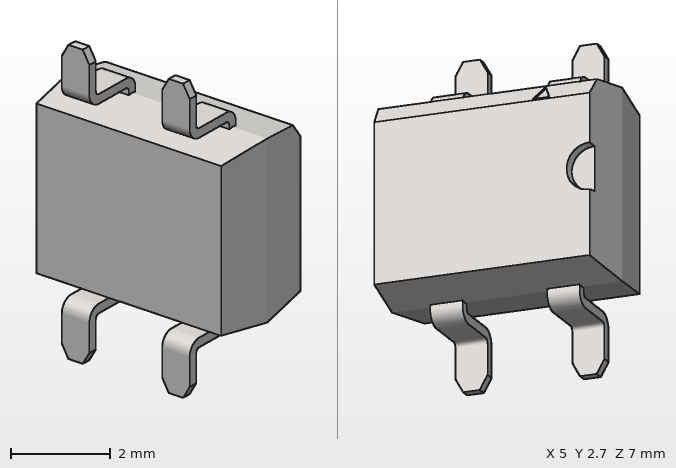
import cadquery as cq
import math


body_width = 5.0
body_height = 4.1
half_depth = 1.3
draft_angle = 7.0

bevel_depth = 0.3
bevel_drop = 0.34

notch_radius = 0.5
notch_depth = 0.21

lead_pitch = 2.54
lead_width = 0.7
lead_thickness = 0.22
lead_tip_z = 3.5
lead_shelf_z = 2.44
lead_root_z = 1.75
foot_face_y = -1.4
bend_inner_radius = 0.09
bend_outer_radius = bend_inner_radius + lead_thickness
tip_taper_width = 0.17
tip_taper_length = 0.295

mark_width = 0.35
mark_length = 0.24
mark_depth = 0.05
mark_rear_gap = 0.035

draft_inset = half_depth * math.tan(math.radians(draft_angle))
face_half_width = body_width / 2 - draft_inset
face_half_height = body_height / 2 - draft_inset
bevel_rear_z = face_half_height - bevel_drop
bevel_rise = bevel_drop + bevel_depth * math.tan(math.radians(draft_angle))
first_lead_x = -lead_pitch / 2


def make_body():
    """Two drafted halves that meet at the parting plane, bevelled at the top rear edge."""
    outline = cq.Workplane("XZ").rect(body_width, body_height)
    front_half = outline.extrude(half_depth, taper=draft_angle)
    body = front_half.union(front_half.mirror("XZ"))
    bevel_front_y = half_depth - 2 * bevel_depth
    bevel_front_z = bevel_rear_z + 2 * bevel_rise
    bevel = (
        cq.Workplane("YZ")
        .moveTo(half_depth, bevel_rear_z)
        .lineTo(half_depth, bevel_front_z)
        .lineTo(bevel_front_y, bevel_front_z)
        .close()
        .extrude(body_width / 2, both=True)
    )
    return body.cut(bevel)


def make_notch():
    """Drafted round pocket centred on the -X edge of the rear face."""
    return (
        cq.Workplane("XZ", origin=(-face_half_width, half_depth, 0))
        .circle(notch_radius)
        .extrude(notch_depth, taper=draft_angle)
    )


def point_on_bevel(x, depth):
    """Point on the bevel at a given depth in front of the rear face."""
    return cq.Vector(x, half_depth - depth, bevel_rear_z + depth * bevel_rise / bevel_depth)


def make_pin_mark():
    """Shallow triangle sunk along Y into the bevel, pointing away from the rear face."""
    corners = [
        point_on_bevel(first_lead_x - mark_width / 2, mark_rear_gap),
        point_on_bevel(first_lead_x + mark_width / 2, mark_rear_gap),
        point_on_bevel(first_lead_x, mark_rear_gap + mark_length),
    ]
    outline = cq.Wire.makePolygon(corners, close=True)
    return cq.Workplane(cq.Solid.extrudeLinear(outline, [], cq.Vector(0, -mark_depth, 0)))


def make_lead():
    """Upper gull-wing lead centred on X = 0, with a tapered tip."""
    rear_y = lead_thickness / 2
    front_y = -lead_thickness / 2
    foot_back_y = foot_face_y + lead_thickness
    shelf_bottom_z = lead_shelf_z - lead_thickness
    side_profile = (
        cq.Workplane("YZ")
        .moveTo(rear_y, lead_root_z)
        .lineTo(rear_y, lead_shelf_z - bend_outer_radius)
        .tangentArcPoint((rear_y - bend_outer_radius, lead_shelf_z), relative=False)
        .lineTo(foot_back_y + bend_inner_radius, lead_shelf_z)
        .tangentArcPoint((foot_back_y, lead_shelf_z + bend_inner_radius), relative=False)
        .lineTo(foot_back_y, lead_tip_z)
        .lineTo(foot_face_y, lead_tip_z)
        .lineTo(foot_face_y, shelf_bottom_z + bend_outer_radius)
        .tangentArcPoint((foot_face_y + bend_outer_radius, shelf_bottom_z), relative=False)
        .lineTo(front_y - bend_inner_radius, shelf_bottom_z)
        .tangentArcPoint((front_y, shelf_bottom_z - bend_inner_radius), relative=False)
        .lineTo(front_y, lead_root_z)
        .close()
        .extrude(lead_width / 2, both=True)
    )
    half_width = lead_width / 2
    tip_half_width = half_width - tip_taper_width
    shoulder_z = lead_tip_z - tip_taper_length
    front_outline = (
        cq.Workplane("XZ")
        .moveTo(-half_width, lead_root_z)
        .lineTo(-half_width, shoulder_z)
        .lineTo(-tip_half_width, lead_tip_z)
        .lineTo(tip_half_width, lead_tip_z)
        .lineTo(half_width, shoulder_z)
        .lineTo(half_width, lead_root_z)
        .close()
        .extrude(-foot_face_y, both=True)
    )
    return side_profile.intersect(front_outline)


result = make_body().cut(make_notch()).cut(make_pin_mark())
upper_lead = make_lead()
lower_lead = upper_lead.mirror("XY")
for lead_x in (first_lead_x, first_lead_x + lead_pitch):
    for lead in (upper_lead, lower_lead):
        result = result.union(lead.translate((lead_x, 0, 0)))